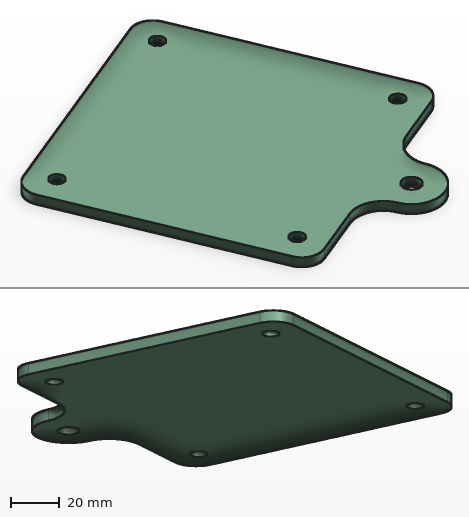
import cadquery as cq
import math

overall_length = 164.0
plate_side = 134.0
thickness = 5.0
corner_radius = 10.0
mount_hole_spacing = 107.0
mount_hole_diameter = 7.0
tab_hole_diameter = 9.0

half_side = plate_side / 2
tab_radius = (overall_length - plate_side) / 2
tab_center_x = half_side + tab_radius
blend_end_y = 2 * tab_radius
blend_mid_offset = tab_radius * math.sqrt(0.5)


def make_plate():
    """Square plate centred on the origin, with rounded vertical corners."""
    plate = cq.Workplane("XY").rect(plate_side, plate_side).extrude(thickness)
    return plate.edges("|Z").fillet(corner_radius)


def make_tab():
    """Half-round tab joined to the +X side by concave quarter-circle blends."""
    blend_mid_x = tab_center_x - blend_mid_offset
    blend_mid_y = blend_end_y - blend_mid_offset
    return (
        cq.Workplane("XY")
        .moveTo(half_side, -blend_end_y)
        .threePointArc((blend_mid_x, -blend_mid_y), (tab_center_x, -tab_radius))
        .threePointArc((tab_center_x + tab_radius, 0), (tab_center_x, tab_radius))
        .threePointArc((blend_mid_x, blend_mid_y), (half_side, blend_end_y))
        .close()
        .extrude(thickness)
    )


def drill_holes(body):
    """Four mounting holes near the corners and one hole in the tab."""
    body = (
        body.faces(">Z")
        .workplane(origin=(0, 0, thickness))
        .rarray(mount_hole_spacing, mount_hole_spacing, 2, 2)
        .hole(mount_hole_diameter)
    )
    return (
        body.faces(">Z")
        .workplane(origin=(tab_center_x, 0, thickness))
        .hole(tab_hole_diameter)
    )


result = drill_holes(make_plate().union(make_tab()))